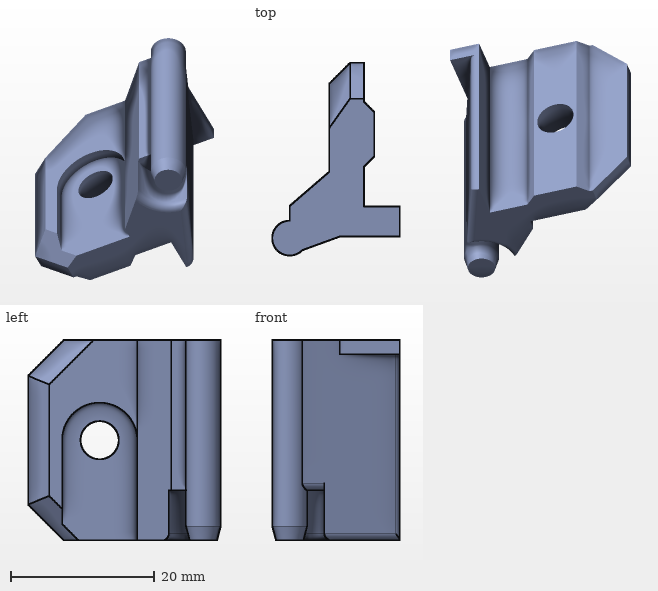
import cadquery as cq
import math

height = 28.0

pin_radius = 2.45
tip_height = 2.0
tip_angle = 15.0
tip_radius = pin_radius - tip_height * math.tan(math.radians(tip_angle))

plate_near_x = 5.5
plate_far_x = 10.4
plate_end_y = 24.5
corner_cut = 5.0
face_bevel = 2.95

hole_radius = 2.65
hole_y = 14.5
hole_z = height / 2
recess_radius = 5.25
recess_depth = 1.5

rib_height = 1.45
rib_crest_half_width = 3.1
rib_base_half_width = rib_crest_half_width + rib_height

web_shoulder_y = 4.5
web_plate_y = hole_y - recess_radius

arm_end_x = 15.4
arm_front_y = 0.2
arm_back_y = 4.45
arm_taper_angle = 20.0
taper_start_x = 7.0
slab_height = 2.0
slab_bottom_z = height - slab_height
edge_radius = 1.0

clearance_radius = 4.85
clearance_height = 7.0


def taper_y(x):
    """Y of the tapered front face at the given X."""
    return arm_front_y + (x - taper_start_x) * math.tan(math.radians(arm_taper_angle))


def prism(points, bottom_z, top_z):
    """Vertical prism over a closed outline."""
    return cq.Workplane("XY").workplane(offset=bottom_z).polyline(points).close().extrude(top_z - bottom_z)


def make_plate():
    """Plate with two cut corners and a bevel round its outer edges on the pin side."""
    thickness = plate_far_x - plate_near_x
    outline = [
        (web_plate_y, 0),
        (plate_end_y - corner_cut, 0),
        (plate_end_y, corner_cut),
        (plate_end_y, height - corner_cut),
        (plate_end_y - corner_cut, height),
        (web_plate_y, height),
    ]
    plate = cq.Workplane("YZ").workplane(offset=plate_near_x).polyline(outline).close().extrude(thickness)
    beveled_edges = cq.selectors.BoxSelector(
        (plate_near_x - thickness / 2, plate_end_y - corner_cut, 0),
        (plate_near_x + thickness / 2, plate_end_y + corner_cut, height),
    )
    return plate.edges(beveled_edges).chamfer(face_bevel)


def make_rib():
    """Full-height rib on the far face of the plate."""
    crest_x = plate_far_x + rib_height
    return prism(
        [
            (plate_far_x, hole_y - rib_base_half_width),
            (crest_x, hole_y - rib_crest_half_width),
            (crest_x, hole_y + rib_crest_half_width),
            (plate_far_x, hole_y + rib_base_half_width),
        ],
        0,
        height,
    )


def make_clearance():
    """Round space about the pin axis, flared at the bottom by a rounded rim."""
    flare_radius = clearance_radius + edge_radius
    arc_offset = edge_radius * math.sqrt(0.5)
    return (
        cq.Workplane("XZ")
        .moveTo(0, 0)
        .lineTo(flare_radius, 0)
        .threePointArc(
            (flare_radius - arc_offset, edge_radius - arc_offset),
            (clearance_radius, edge_radius),
        )
        .lineTo(clearance_radius, clearance_height)
        .lineTo(0, clearance_height)
        .close()
        .revolve(360, (0, 0, 0), (0, 1, 0))
    )


def make_web_and_arm():
    """Web and tapered arm with rounded front edges, cleared around the pin."""
    body = prism(
        [
            (0, taper_y(0)),
            (0, web_shoulder_y),
            (plate_near_x, web_plate_y),
            (plate_far_x, web_plate_y),
            (plate_far_x, arm_back_y),
            (arm_end_x, arm_back_y),
            (arm_end_x, taper_y(arm_end_x)),
        ],
        0,
        height,
    )
    taper_middle = (arm_end_x / 2, taper_y(arm_end_x / 2))
    bottom_edge = cq.selectors.NearestToPointSelector((*taper_middle, 0))
    end_edge = cq.selectors.NearestToPointSelector((arm_end_x, taper_y(arm_end_x), height / 2))
    body = body.edges(cq.selectors.SumSelector(bottom_edge, end_edge)).fillet(edge_radius)

    body = body.cut(make_clearance())
    ceiling_x = clearance_radius / 2
    ceiling_edge = cq.selectors.NearestToPointSelector((ceiling_x, taper_y(ceiling_x), clearance_height))
    return body.edges(ceiling_edge).fillet(edge_radius)


def make_slab():
    """Straight-fronted slab along the top of the arm."""
    return prism(
        [
            (taper_start_x, arm_front_y),
            (arm_end_x, arm_front_y),
            (arm_end_x, arm_back_y),
            (taper_start_x, arm_back_y),
        ],
        slab_bottom_z,
        height,
    )


def make_pin():
    """Round pin with a conical tip at the bottom."""
    return (
        cq.Workplane("XZ")
        .polyline(
            [
                (0, 0),
                (tip_radius, 0),
                (pin_radius, tip_height),
                (pin_radius, height),
                (0, height),
            ]
        )
        .close()
        .revolve(360, (0, 0, 0), (0, 1, 0))
    )


def make_recess():
    """Round-topped recess round the screw hole, open at the bottom."""
    plane = cq.Workplane("YZ").workplane(offset=plate_near_x)
    round_top = plane.center(hole_y, hole_z).circle(recess_radius).extrude(recess_depth)
    channel = plane.center(hole_y, hole_z / 2).rect(2 * recess_radius, hole_z).extrude(recess_depth)
    return round_top.union(channel)


def make_screw_hole():
    """Hole through the plate and the rib."""
    length = plate_far_x + rib_height - plate_near_x
    plane = cq.Workplane("YZ").workplane(offset=plate_near_x)
    return plane.center(hole_y, hole_z).circle(hole_radius).extrude(length)


result = (
    make_web_and_arm()
    .union(make_slab())
    .union(make_plate())
    .union(make_rib())
    .cut(make_recess())
    .cut(make_screw_hole())
    .union(make_pin())
)